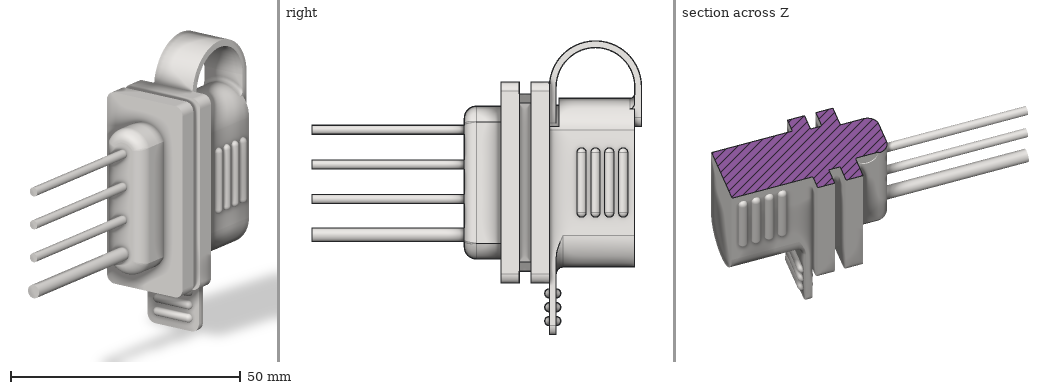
import cadquery as cq
import math

OVERALL_LENGTH = 72.0

FLANGE_WIDTH = 20.4
FLANGE_HEIGHT = 43.9
FLANGE_THICKNESS = 4.0
CORNER_RADIUS = 2.0
NECK_LENGTH = 2.5
NECK_HALF_WIDTH = 6.2
NECK_HALF_HEIGHT = 19.4
NECK_CHAMFER = 2.0
NECK_STEP_X = 0.8
GROMMET_LENGTH = 8.0
GROMMET_HALF_WIDTH = 5.2
GROMMET_HALF_HEIGHT = 16.7
GROMMET_SIDE_HALF_HEIGHT = 13.25
GROMMET_FILLET = 2.7
DIMPLE_RADIUS = 2.5
DIMPLE_DEPTH = 0.2
DIMPLE_Z = 9.5

PIN_DIAMETER = 2.0
PIN_HEIGHTS = (11.5, 3.95, -3.6)
LARGE_PIN_DIAMETER = 3.0
LARGE_PIN_HEIGHT = -11.4

CAP_DEPTH = 18.65
CAP_RADIUS = 6.9
CAP_CENTRE_Z = 11.5
BAND_THICKNESS = 1.5
STRAP_HALF_WIDTH = 5.2
STRAP_TOP_Z = 30.95
STRAP_END_Z = 12.25
STRAP_ROOT_FILLET = 1.0
GROOVE_WIDTH = 2.1
TAB_BOTTOM_Z = -33.2
TAB_FLARE_RADIUS = 1.5

RIB_RADIUS = 1.0
RIB_PITCH = 3.0
CAP_RIB_COUNT = 4
CAP_RIB_HALF_LENGTH = 7.55
CAP_RIB_FIRST_Y = 7.05
TAB_RIB_COUNT = 3
TAB_RIB_HALF_LENGTH = STRAP_HALF_WIDTH
TAB_RIB_FIRST_Z = -24.2

NECK_FRONT_Y = -FLANGE_THICKNESS - NECK_LENGTH
GROMMET_BACK_Y = NECK_FRONT_Y - FLANGE_THICKNESS
GROMMET_FRONT_Y = GROMMET_BACK_Y - GROMMET_LENGTH
STRAP_OUTER_RADIUS = (CAP_DEPTH + BAND_THICKNESS) / 2
STRAP_INNER_RADIUS = STRAP_OUTER_RADIUS - BAND_THICKNESS
STRAP_CENTRE_Z = STRAP_TOP_Z - STRAP_OUTER_RADIUS
PIN_TIP_Y = CAP_DEPTH + BAND_THICKNESS - OVERALL_LENGTH


def box(x_range, y_range, z_range):
    """Box between the given limits on each axis."""
    (x0, x1), (y0, y1), (z0, z1) = x_range, y_range, z_range
    return cq.Workplane("XY").box(x1 - x0, y1 - y0, z1 - z0, centered=False).translate((x0, y0, z0))


def section_at(y):
    """Workplane across the part at y; its extrusions run toward -Y."""
    return cq.Workplane("XZ", origin=(0, y, 0))


def slot(radius, y_back, depth):
    """Upright round-ended block sharing the cap's end centres."""
    return section_at(y_back).slot2D(2 * (CAP_CENTRE_Z + radius), 2 * radius, 90).extrude(depth)


def flange(y_back):
    plate = section_at(y_back).rect(FLANGE_WIDTH, FLANGE_HEIGHT).extrude(FLANGE_THICKNESS)
    return plate.edges("|Y").fillet(CORNER_RADIUS)


def neck():
    """Keyed neck: the -X side is taller with chamfered corners, the +X side is square."""
    tall = box(
        (-NECK_HALF_WIDTH, NECK_STEP_X),
        (NECK_FRONT_Y, -FLANGE_THICKNESS),
        (-NECK_HALF_HEIGHT, NECK_HALF_HEIGHT),
    )
    tall = tall.edges("|Y and <X").chamfer(NECK_CHAMFER)
    low_half_height = NECK_HALF_HEIGHT - NECK_CHAMFER
    low = box(
        (NECK_STEP_X, NECK_HALF_WIDTH),
        (NECK_FRONT_Y, -FLANGE_THICKNESS),
        (-low_half_height, low_half_height),
    )
    return tall.union(low)


def grommet():
    """Flat-sided block with shallow arched ends, a rounded front and a dimple on the -X side."""
    half_width = GROMMET_HALF_WIDTH
    side = GROMMET_SIDE_HALF_HEIGHT
    body = (
        section_at(GROMMET_BACK_Y)
        .moveTo(-half_width, -side)
        .lineTo(-half_width, side)
        .threePointArc((0, GROMMET_HALF_HEIGHT), (half_width, side))
        .lineTo(half_width, -side)
        .threePointArc((0, -GROMMET_HALF_HEIGHT), (-half_width, -side))
        .close()
        .extrude(GROMMET_LENGTH)
    )
    body = body.faces("<Y").edges().fillet(GROMMET_FILLET)
    dimple_y = GROMMET_BACK_Y - (GROMMET_LENGTH - GROMMET_FILLET) / 2
    dimple = (
        cq.Workplane("YZ", origin=(-half_width, dimple_y, DIMPLE_Z))
        .circle(DIMPLE_RADIUS)
        .extrude(DIMPLE_DEPTH)
    )
    return body.cut(dimple)


def pin(diameter, z):
    return section_at(GROMMET_FRONT_Y).center(0, z).circle(diameter / 2).extrude(GROMMET_FRONT_Y - PIN_TIP_Y)


def root_fillet(face_y, direction, radius, half_width, end):
    """Concave fillet around one round end of the cap where it meets a flat band.

    The band's face is at face_y and the fillet spreads from it along direction (+1 or -1 in Y).
    end is +1 for the top of the cap and -1 for the bottom. The fillet stops at half_width.
    """
    tip_y = face_y + direction * radius
    bend = radius * (1 - math.cos(math.radians(45)))
    ring = (
        cq.Workplane("XY")
        .moveTo(0, face_y)
        .lineTo(CAP_RADIUS + radius, face_y)
        .threePointArc((CAP_RADIUS + bend, face_y + direction * bend), (CAP_RADIUS, tip_y))
        .lineTo(0, tip_y)
        .close()
        .revolve(360, (0, 0, 0), (0, 1, 0))
    )
    reach = CAP_RADIUS + radius
    kept = box((-half_width, half_width), sorted((face_y, tip_y)), sorted((0, end * reach)))
    return ring.intersect(kept).translate((0, 0, end * CAP_CENTRE_Z))


def cap_body():
    """Round-ended block, cut back around a smaller core where the strap starts."""
    body = slot(CAP_RADIUS, CAP_DEPTH, CAP_DEPTH)
    groove = box(
        (-CAP_RADIUS, CAP_RADIUS),
        (0, GROOVE_WIDTH),
        (STRAP_END_Z, CAP_CENTRE_Z + CAP_RADIUS),
    )
    core = slot(CAP_RADIUS - BAND_THICKNESS, GROOVE_WIDTH, GROOVE_WIDTH)
    return body.cut(groove.cut(core))


def strap():
    """Arched band from the front of the cap over to its back face."""
    y_back = CAP_DEPTH + BAND_THICKNESS
    middle_y = STRAP_OUTER_RADIUS
    band = (
        cq.Workplane("YZ", origin=(-STRAP_HALF_WIDTH, 0, 0))
        .moveTo(0, STRAP_END_Z)
        .lineTo(0, STRAP_CENTRE_Z)
        .threePointArc((middle_y, STRAP_TOP_Z), (y_back, STRAP_CENTRE_Z))
        .lineTo(y_back, STRAP_END_Z)
        .lineTo(CAP_DEPTH, STRAP_END_Z)
        .lineTo(CAP_DEPTH, STRAP_CENTRE_Z)
        .threePointArc((middle_y, STRAP_CENTRE_Z + STRAP_INNER_RADIUS), (BAND_THICKNESS, STRAP_CENTRE_Z))
        .lineTo(BAND_THICKNESS, STRAP_END_Z)
        .close()
        .extrude(2 * STRAP_HALF_WIDTH)
    )
    band = band.edges("|Y").edges(">Y").fillet(CORNER_RADIUS)
    root = root_fillet(CAP_DEPTH, -1, STRAP_ROOT_FILLET, STRAP_HALF_WIDTH, 1)
    return band.union(root)


def tab():
    """Pull tab hanging below the cap, flared into the cap's lower end."""
    plate = box((-CAP_RADIUS, CAP_RADIUS), (0, BAND_THICKNESS), (TAB_BOTTOM_Z, -CAP_CENTRE_Z))
    plate = plate.edges("|Y and <Z").fillet(CORNER_RADIUS)
    return plate.union(root_fillet(BAND_THICKNESS, 1, TAB_FLARE_RADIUS, CAP_RADIUS, -1))


def rib(half_length):
    """Round-ended bar along Z, centred on the origin."""
    straight = half_length - RIB_RADIUS
    bar = cq.Workplane("XY").circle(RIB_RADIUS).extrude(2 * straight).translate((0, 0, -straight))
    for z in (-straight, straight):
        bar = bar.union(cq.Workplane("XY").sphere(RIB_RADIUS).translate((0, 0, z)))
    return bar


def grip_ribs():
    """Upright ribs on both sides of the cap and level ribs on both faces of the tab."""
    cap_rib = rib(CAP_RIB_HALF_LENGTH)
    tab_rib = rib(TAB_RIB_HALF_LENGTH).rotate((0, 0, 0), (0, 1, 0), 90)
    ribs = []
    for x in (-CAP_RADIUS, CAP_RADIUS):
        for i in range(CAP_RIB_COUNT):
            ribs.append(cap_rib.translate((x, CAP_RIB_FIRST_Y + i * RIB_PITCH, 0)))
    for y in (0, BAND_THICKNESS):
        for i in range(TAB_RIB_COUNT):
            ribs.append(tab_rib.translate((0, y, TAB_RIB_FIRST_Z - i * RIB_PITCH)))
    return ribs


result = flange(0).union(neck()).union(flange(NECK_FRONT_Y)).union(grommet())
for pin_height in PIN_HEIGHTS:
    result = result.union(pin(PIN_DIAMETER, pin_height))
result = result.union(pin(LARGE_PIN_DIAMETER, LARGE_PIN_HEIGHT))

result = result.union(cap_body()).union(strap()).union(tab())
for grip_rib in grip_ribs():
    result = result.union(grip_rib)